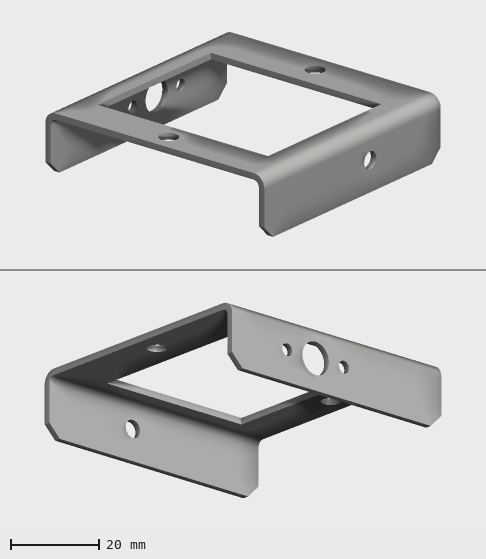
import cadquery as cq

width = 63.9
depth = 63.5
height = 15.8
thickness = 1.6
bend_radius = 3.05
corner_chamfer = 3.2

window_width = 49.7
window_depth = 40.75
window_y = -1.3

mount_diameter = 4.8
mount_spacing = 52.7
mount_y = -0.4

wall_hole_y = 6.4
wall_hole_drop = 8.0
large_diameter = 8.0
small_diameter = 4.35
pin_diameter = 3.0
pin_spacing = 17.25

wall_hole_z = height - wall_hole_drop


def rounded_block(block_width, block_height, radius):
    """Block standing on Z = 0 with its two long top edges rounded."""
    block = cq.Workplane("XY").box(block_width, depth, block_height, centered=(True, True, False))
    return block.edges("|Y and >Z").fillet(radius)


def bracket_body():
    outside = rounded_block(width, height, bend_radius).edges("|X and <Z").chamfer(corner_chamfer)
    inside = rounded_block(width - 2 * thickness, height - thickness, bend_radius - thickness)
    return outside.cut(inside)


def top_openings():
    """Cutters for the window and the two mounting holes."""
    top = cq.Workplane("XY").workplane(offset=height)
    window = top.center(0, window_y).rect(window_width, window_depth).extrude(-2 * thickness)
    mounts = (
        top.center(0, mount_y)
        .rarray(0.65, mount_spacing, 1, 2)
        .circle(mount_diameter / 2)
        .extrude(-2 * thickness)
    )
    return window.union(mounts)


def wall_hole(side, y, diameter):
    """Cutter through one wall: side is -1 for the -X wall and 1 for the +X wall."""
    start = cq.Vector(side * (width / 2 - 2 * thickness), y, wall_hole_z)
    return cq.Workplane(cq.Solid.makeCylinder(diameter / 2, 3 * thickness, start, cq.Vector(side, 0, 0)))


result = bracket_body().cut(top_openings())

result = result.cut(wall_hole(-1, wall_hole_y, large_diameter))
result = result.cut(wall_hole(1, wall_hole_y, small_diameter))
for pin_offset in (-pin_spacing / 2, pin_spacing / 2):
    result = result.cut(wall_hole(-1, wall_hole_y + pin_offset, pin_diameter))